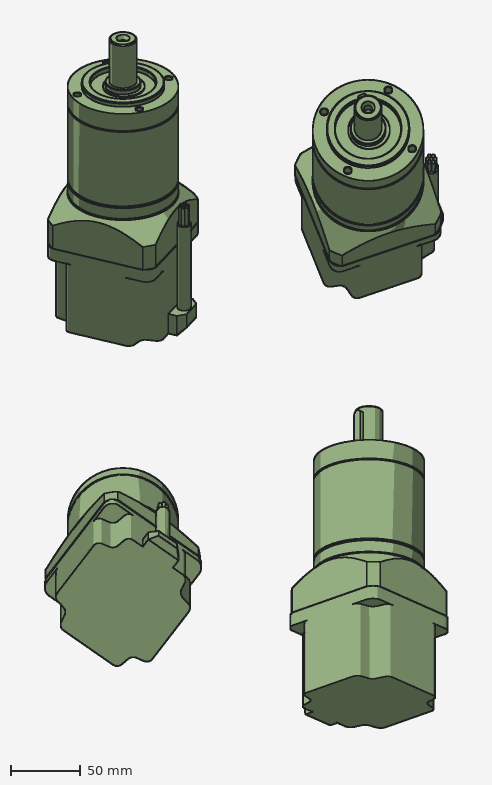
import cadquery as cq
import math


motor_notch_top = 56.7
motor_top = 66.7
block_corner_top = 86.0
cone_top = 100.0
barrel_top = 188.5
pilot_top = 192.0
seal_top = 192.6
shaft_top = 228.5

block_size = 86.0
block_corner_radius = 56.0
barrel_radius = 40.0
cone_ledge = 0.2
groove_depth = 0.7
grooves = ((100.5, 0.7), (110.5, 1.4), (173.7, 0.7))
pilot_radius = 30.0
pilot_chamfer = 0.7
recess_radius = 23.8
recess_depth = 3.9
recess_chamfer = 0.5
seal_disc_radius = 15.0
seal_disc_height = 1.0
seal_disc_offset = 0.7
seal_radius = 12.8
seal_chamfer = 0.5
shaft_diameter = 19.9
shaft_chamfer = 1.0

key_width = 6.2
key_length = 28.5
key_bottom = 196.3
key_reach = 12.8

mount_circle_radius = 35.0
mount_hole_radius = 2.5
mount_hole_chamfer = 0.5
mount_hole_depth = 10.0
mount_hole_count = 4
centre_hole_radius = 3.0
centre_hole_depth = 10.0
centre_countersink_radius = 4.8
centre_countersink_angle = 60.0
drill_point_angle = 118.0

motor_size = 85.0
motor_flange_fillet = 7.5
notch_start = 22.2
notch_rounding = 5.0
notch_turn = 78.0
notch_wall = 6.0

clamp_reach = 54.5
clamp_width = 27.0
clamp_height = 16.5
clamp_chamfer = 5.3
cable_x = 48.7
cable_radius = 5.0
cable_top = 86.0
wire_radius = 1.25
wire_pitch = 2.7
wire_top = 100.8
outer_wire_count = 6
wire_twist = 10.0


def cylinder(radius, bottom, top):
    return cq.Workplane("XY").workplane(offset=bottom).circle(radius).extrude(top - bottom)


def cone(bottom_radius, top_radius, bottom, top):
    base = cq.Vector(0, 0, bottom)
    return cq.Workplane(cq.Solid.makeCone(bottom_radius, top_radius, top - bottom, base))


def square_block(size, bottom, top):
    return cq.Workplane("XY").workplane(offset=bottom).rect(size, size).extrude(top - bottom)


def drilled_hole(radius, top, depth):
    """Cutter for a blind hole on the axis with a conical drill point."""
    floor = top - depth
    tip = floor - radius / math.tan(math.radians(drill_point_angle / 2))
    profile = [(0, top), (radius, top), (radius, floor), (0, tip)]
    return cq.Workplane("XZ").polyline(profile).close().revolve(360, (0, 0), (0, 1))


def make_adapter_block():
    """Square block whose corners and conical shoulder are turned about the axis."""
    profile = [
        (0, motor_top),
        (block_corner_radius, motor_top),
        (block_corner_radius, block_corner_top),
        (barrel_radius + cone_ledge, cone_top),
        (0, cone_top),
    ]
    turned = cq.Workplane("XZ").polyline(profile).close().revolve(360, (0, 0), (0, 1))
    return turned.intersect(square_block(block_size, motor_top, cone_top))


def make_barrel():
    """Round housing with grooves, pilot boss and shaft seal."""
    barrel = cylinder(barrel_radius, cone_top, barrel_top)
    for middle, width in grooves:
        bottom = max(middle - width / 2, cone_top)
        top = middle + width / 2
        core = cylinder(barrel_radius - groove_depth, bottom, top)
        barrel = barrel.cut(cylinder(barrel_radius, bottom, top).cut(core))

    pilot = cylinder(pilot_radius, barrel_top, pilot_top).faces(">Z").chamfer(pilot_chamfer)
    return add_seal(barrel.union(pilot))


def add_seal(housing):
    """Recess in the pilot with the flat seal disc and the collar round the shaft."""
    recess_floor = pilot_top - recess_depth
    housing = housing.cut(cylinder(recess_radius, recess_floor, pilot_top))
    rim = cone(recess_radius, recess_radius + recess_chamfer, pilot_top - recess_chamfer, pilot_top)
    disc = cylinder(seal_disc_radius, recess_floor, recess_floor + seal_disc_height)
    disc = disc.translate((seal_disc_offset, 0, 0))
    collar = cylinder(seal_radius, recess_floor, seal_top).faces(">Z").chamfer(seal_chamfer)
    return housing.cut(rim).union(disc).union(collar)


def cut_mounting_holes(body):
    hole = drilled_hole(mount_hole_radius, barrel_top, mount_hole_depth)
    mouth_radius = mount_hole_radius + mount_hole_chamfer
    mouth = cone(mount_hole_radius, mouth_radius, barrel_top - mount_hole_chamfer, barrel_top)
    hole = hole.union(mouth).translate((mount_circle_radius, 0, 0))
    step = 360 / mount_hole_count
    for index in range(mount_hole_count):
        body = body.cut(hole.rotate((0, 0, 0), (0, 0, 1), (index + 0.5) * step))
    return body


def make_shaft():
    """Output shaft with end chamfer, centre hole and key."""
    shaft = cylinder(shaft_diameter / 2, seal_top, shaft_top).faces(">Z").chamfer(shaft_chamfer)
    key = (
        cq.Workplane("XZ")
        .center(0, key_bottom + key_length / 2)
        .slot2D(key_length, key_width, 90)
        .extrude(-key_reach)
    )
    half_angle = math.radians(centre_countersink_angle / 2)
    cone_height = centre_countersink_radius / math.tan(half_angle)
    countersink = cone(0, centre_countersink_radius, shaft_top - cone_height, shaft_top)
    hole = drilled_hole(centre_hole_radius, shaft_top, centre_hole_depth)
    return shaft.union(key).cut(hole).cut(countersink)


def make_gearbox():
    housing = cut_mounting_holes(make_barrel())
    return make_adapter_block().union(housing).union(make_shaft())


def make_corner_notch():
    """Cutter for one motor corner, symmetric about the corner diagonal."""
    half = motor_size / 2
    turn = math.radians(notch_turn)

    def on_rounding(angle):
        x = notch_start + notch_rounding * math.sin(angle)
        y = half - notch_rounding * (1 - math.cos(angle))
        return x, y

    rounding_middle = on_rounding(turn / 2)
    rounding_end = on_rounding(turn)
    wall_end = (
        rounding_end[0] + notch_wall * math.cos(turn),
        rounding_end[1] - notch_wall * math.sin(turn),
    )

    floor_half_angle = turn - math.pi / 4
    chord = math.sqrt(2) * (wall_end[1] - wall_end[0])
    sagitta = chord / 2 * math.tan(floor_half_angle / 2)
    floor_middle = (wall_end[0] + wall_end[1]) / 2 - sagitta / math.sqrt(2)

    def mirrored(point):
        return point[1], point[0]

    return (
        cq.Workplane("XY")
        .moveTo(notch_start, half)
        .threePointArc(rounding_middle, rounding_end)
        .lineTo(*wall_end)
        .threePointArc((floor_middle, floor_middle), mirrored(wall_end))
        .lineTo(*mirrored(rounding_end))
        .threePointArc(mirrored(rounding_middle), (half, notch_start))
        .lineTo(half, half)
        .close()
        .extrude(motor_notch_top)
    )


def make_cable():
    """Clamp on the motor side, upright cable and its bare wire ends."""
    clamp_start = motor_size / 2
    clamp_depth = clamp_reach - clamp_start
    clamp = (
        cq.Workplane("XY")
        .box(clamp_depth, clamp_width, clamp_height, centered=(False, True, False))
        .translate((clamp_start, 0, 0))
    )
    clamp = clamp.edges(">X and |Z").chamfer(clamp_chamfer)
    clamp = clamp.faces(">X").edges("<Z").chamfer(clamp_chamfer)

    cable = cylinder(cable_radius, clamp_height, cable_top).translate((cable_x, 0, 0))
    wire = cylinder(wire_radius, cable_top, wire_top).translate((cable_x, 0, 0))
    cable = cable.union(wire)
    outer_wire = wire.translate((0, wire_pitch, 0))
    for index in range(outer_wire_count):
        angle = wire_twist + index * 360 / outer_wire_count
        cable = cable.union(outer_wire.rotate((cable_x, 0, 0), (cable_x, 0, 1), angle))
    return clamp.union(cable)


def make_motor():
    motor = square_block(motor_size, 0, motor_notch_top)
    notch = make_corner_notch()
    for angle in (0, 90, 180, 270):
        motor = motor.cut(notch.rotate((0, 0, 0), (0, 0, 1), angle))
    flange = square_block(motor_size, motor_notch_top, motor_top)
    flange = flange.edges("|Z").fillet(motor_flange_fillet)
    return motor.union(flange).union(make_cable())


gearbox = make_gearbox()
motor = make_motor()

result = cq.Compound.makeCompound([gearbox.val(), motor.val()])